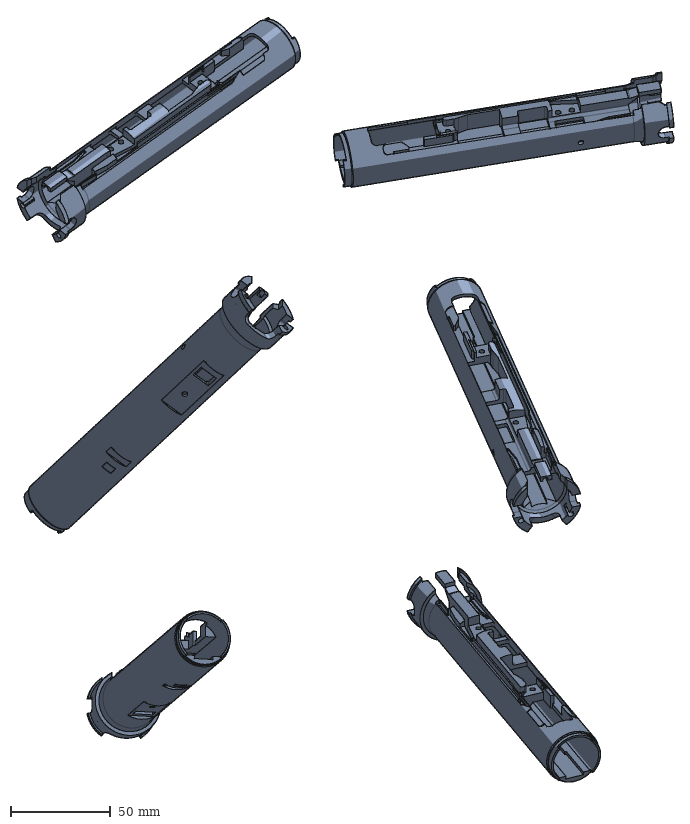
import cadquery as cq
import math

LENGTH = 167.8
BODY_R = 14.3
FLANGE_R = 17.92
FLANGE_W = 2.3
COLLAR_R = 17.0
COLLAR_END = 14.7
SHOULDER_R = 15.1
SHOULDER_END = 19.6
SHOULDER_ARC_R = 20.0
TAIL_START = 164.2
TAIL_R = 13.5
TAIL_CHAMFER = 0.5
TAIL_TAB_START = 166.2
TAIL_TAB_X = 8.8
TAIL_TAB_HALF_HEIGHT = 9.5

BORE_R = 12.45
MOUTH_R = 13.6
MOUTH_END = 11.1
MOUTH_CONE_END = 12.3
FLOOR_RAMP_END = 17.0
FLOOR_Z = -9.2
GROOVE_Z = -10.8
GROOVE_HALF = 4.0
REAR_GROOVE_HALF = 4.8
REAR_GROOVE_START = 145.0
ROOF_LEFT_Z = 5.2
ROOF_RIGHT_Z = 2.8
ROOF_STEP_X0 = 0.9
ROOF_STEP_X1 = 2.7
DECK_START = 20.0
DECK_END = 117.0

LEFT_EDGE = -10.4
RIGHT_EDGE = 10.3
BLOCK_TOP = 13.75
SHELF_Z = 7.5
RECESS_EDGE_Z = 9.75
RECESS_Z = 9.3
RIB_X0 = -2.4
RIB_X1 = 3.35
RIB_TIP = 3.2
RIB_RISE_END = 19.2
RIB_UNDER_Z = 14.1
RIB_STEP = 1.0
RIB_OVERLAP = 1.0
RIB_GROOVE_R = 1.4
RIB_GROOVE_RISE = 0.5
RIB_GROOVE_LENGTH = 3.0
SHELF_END = 108.5
WINDOW_X0 = -5.9
WINDOW_X1 = 8.0
WINDOW_END = 152.0
BLOCK_X1 = 5.8
CHANNEL_Z = 5.3
SIDE_GROOVE_Z = 8.5
PIN_HOLE_D = 2.7

FAR = 60.0
TOP = 20.0


def span(x0, x1, y0, y1, z0, z1):
    """Box between two corners."""
    return cq.Workplane("XY").box(x1 - x0, y1 - y0, z1 - z0, centered=False).translate((x0, y0, z0))


def pocket(x0, x1, y0, y1, floor, corner=0):
    """Cutter open to the top, with optional rounded upright edges."""
    cutter = span(x0, x1, y0, y1, floor, TOP)
    return cutter.edges("|Z").fillet(corner) if corner else cutter


def plan_cut(points, floor):
    """Cutter open to the top with a polygonal plan."""
    return cq.Workplane("XY").workplane(offset=floor).polyline(points).close().extrude(TOP - floor)


def rod(radius, y0, y1, x=0, z=0):
    """Cylinder parallel to the tube axis."""
    return cq.Workplane("XZ", origin=(x, y0, z)).circle(radius).extrude(y0 - y1)


def outer_body():
    profile = (
        cq.Workplane("XY")
        .moveTo(0, 0)
        .lineTo(FLANGE_R, 0)
        .lineTo(FLANGE_R, FLANGE_W)
        .lineTo(COLLAR_R, FLANGE_W)
        .lineTo(COLLAR_R, COLLAR_END)
        .lineTo(SHOULDER_R, COLLAR_END)
        .radiusArc((BODY_R, SHOULDER_END), SHOULDER_ARC_R)
        .lineTo(BODY_R, TAIL_START - TAIL_CHAMFER)
        .lineTo(BODY_R - TAIL_CHAMFER, TAIL_START)
        .lineTo(TAIL_R, TAIL_START)
        .lineTo(TAIL_R, LENGTH)
        .lineTo(0, LENGTH)
        .close()
    )
    return profile.revolve(360, (0, 0, 0), (0, 1, 0))


def cut_tail(body):
    """Leave one locking tab on each side of the rear end."""
    gap = span(-TAIL_TAB_X, TAIL_TAB_X, TAIL_TAB_START, LENGTH, -FAR, FAR)
    tabs_height = span(-FAR, FAR, TAIL_TAB_START, LENGTH, -TAIL_TAB_HALF_HEIGHT, TAIL_TAB_HALF_HEIGHT)
    waste = span(-FAR, FAR, TAIL_TAB_START, LENGTH, -FAR, FAR).cut(tabs_height)
    return body.cut(gap).cut(waste)


def bore_cutter():
    mouth = (
        cq.Workplane("XY")
        .polyline([
            (0, 0), (MOUTH_R, 0), (MOUTH_R, MOUTH_END), (BORE_R, MOUTH_CONE_END),
            (-FLOOR_Z, FLOOR_RAMP_END), (0, FLOOR_RAMP_END),
        ])
        .close()
        .revolve(360, (0, 0, 0), (0, 1, 0))
    )
    bore = rod(BORE_R, MOUTH_CONE_END, LENGTH)
    bore = bore.cut(span(-FAR, FAR, MOUTH_CONE_END, LENGTH, -FAR, FLOOR_Z))
    roof = (
        cq.Workplane("XZ", origin=(0, DECK_START, 0))
        .polyline([
            (-FAR, ROOF_LEFT_Z), (ROOF_STEP_X0, ROOF_LEFT_Z), (ROOF_STEP_X1, ROOF_RIGHT_Z),
            (FAR, ROOF_RIGHT_Z), (FAR, FAR), (-FAR, FAR),
        ])
        .close()
        .extrude(DECK_START - DECK_END)
    )
    rear_shelf_support = span(-FAR, WINDOW_X0, DECK_END, FACET_Y1, ROOF_LEFT_Z, FAR)
    bore = bore.cut(roof).cut(rear_shelf_support)
    groove = span(-GROOVE_HALF, GROOVE_HALF, MOUTH_CONE_END, LENGTH, GROOVE_Z, 0)
    rear_groove = span(-REAR_GROOVE_HALF, REAR_GROOVE_HALF, REAR_GROOVE_START, LENGTH, GROOVE_Z, 0)
    return mouth.union(bore).union(groove).union(rear_groove)


MOUTH_SLOT_HALF = 3.85
MOUTH_SLOT_DEPTH = 8.0
COLLAR_GAP_X0 = -8.7
COLLAR_GAP_X1 = 8.4
LIP_GAP_X = 10.3
LIP_GAP_DEPTH = 3.2
LIP_GAP_TAPER_END = 5.2
LIP_GAP_Z = 4.85
BOTTOM_NOTCH_DEPTH = 7.65
BOTTOM_NOTCH_ANGLE = 34.5
BOTTOM_NOTCH_CORNER = 3.5
SCALLOPS = ((-13.5, -6.4, 1.4), (12.4, -8.4, 1.5))
SCALLOP_DEPTH = 7.0


def cut_side_slots(body):
    """Round-ended slot through both sides of the mouth."""
    slot = (
        cq.Workplane("YZ", origin=(-FAR, 0, 0))
        .slot2D(2 * MOUTH_SLOT_DEPTH, 2 * MOUTH_SLOT_HALF)
        .extrude(2 * FAR)
    )
    return body.cut(slot)


def cut_top_gap(body):
    gap = span(COLLAR_GAP_X0, COLLAR_GAP_X1, 0, DECK_START, 0, FAR)
    lip_gap = plan_cut(
        [
            (-LIP_GAP_X, 0), (LIP_GAP_X, 0), (LIP_GAP_X, LIP_GAP_DEPTH), (COLLAR_GAP_X1, LIP_GAP_TAPER_END),
            (COLLAR_GAP_X0, LIP_GAP_TAPER_END), (-LIP_GAP_X, LIP_GAP_DEPTH),
        ],
        LIP_GAP_Z,
    )
    return body.cut(gap).cut(lip_gap)


def cut_bottom_notch(body):
    """Wedge with radial walls and rounded inner corners."""
    half_width = FAR * math.tan(math.radians(BOTTOM_NOTCH_ANGLE))
    wedge = (
        cq.Workplane("XZ", origin=(0, -BOTTOM_NOTCH_DEPTH, 0))
        .polyline([(0, 0), (half_width, -FAR), (-half_width, -FAR)])
        .close()
        .extrude(-2 * BOTTOM_NOTCH_DEPTH)
    )
    hub = rod(MOUTH_R / 2, -BOTTOM_NOTCH_DEPTH, BOTTOM_NOTCH_DEPTH)
    wedge = wedge.cut(hub)
    inner_corners = wedge.faces(">Y").edges("%LINE").edges("not |X")
    wedge = inner_corners.fillet(BOTTOM_NOTCH_CORNER)
    return body.cut(wedge)


def cut_scallops(body):
    for x, z, radius in SCALLOPS:
        body = body.cut(rod(radius, 0, SCALLOP_DEPTH, x, z))
    return body


def add_rib(body):
    """Key that bridges the collar gap and rises from the deck to the collar radius."""
    side = (
        cq.Workplane("YZ", origin=(RIB_X0, 0, 0))
        .polyline([
            (RIB_TIP, RIB_UNDER_Z), (RIB_TIP, FAR), (COLLAR_END, FAR), (COLLAR_END, BLOCK_TOP + RIB_STEP),
            (RIB_RISE_END, BLOCK_TOP), (DECK_START + RIB_OVERLAP, BLOCK_TOP),
            (DECK_START + RIB_OVERLAP, RECESS_Z), (DECK_START, RECESS_Z), (COLLAR_END, RIB_UNDER_Z),
        ])
        .close()
        .extrude(RIB_X1 - RIB_X0)
    )
    rib = side.intersect(rod(COLLAR_R, 0, FAR))
    tip_groove = rod(RIB_GROOVE_R, 0, RIB_TIP + RIB_GROOVE_LENGTH, 0, RIB_UNDER_Z + RIB_GROOVE_RISE)
    return body.union(rib.cut(tip_groove))


REAR_SHELF_END = 142.0
FACET_Y0 = 134.0
FACET_Y1 = 147.0
FACET_INNER = (5.9, 12.6)
FACET_OUTER = (10.3, 9.75)
FACET_TIP_X = -9.4
FACET_BEVEL = 3.0
FACET_CORNER = 1.8
RIGHT_FACET_Y0 = 131.0
FENCE = (-6.8, -4.9, 109.5, 125.7)
FENCE_TOP = 12.6
FENCE_NOSE = 1.6
LONG_POCKET_X1 = 4.2
LONG_POCKET_Y0 = 84.8
LONG_POCKET_TAPER = ((LONG_POCKET_X1, 101), (2.9, 106), (2.3, SHELF_END))
SHORT_POCKETS = (
    (0.8, 61.4, 76.5),
    (-3.9, 43.7, 58.3),
)
POCKET_CORNER = 1.0
LEFT_TRACK = [(-10.2, 39.5), (-8.7, 39.5), (-6.8, 31), (-6.8, 18), (-8.7, 18), (-8.7, 31)]
LEFT_TRACK_DEPTH = 1.0
WALL_FILLET = 1.6


def cut_facets(body):
    """Shallow sloping flats on both sides of the window."""
    for side, y0 in ((-1, FACET_Y0), (1, RIGHT_FACET_Y0)):
        inner = (side * FACET_INNER[0], FACET_INNER[1])
        outer = (side * FACET_OUTER[0], FACET_OUTER[1])
        above_facet = (
            cq.Workplane("XZ", origin=(0, y0, 0))
            .polyline([inner, outer, (outer[0], TOP), (inner[0], TOP)])
            .close()
            .extrude(y0 - FACET_Y1)
        )
        plan = span(min(inner[0], outer[0]), max(inner[0], outer[0]), y0, FACET_Y1, 0, TOP)
        plan = plan.edges("|Z and >Y").fillet(FACET_CORNER)
        body = body.cut(above_facet.intersect(plan))
    return body


def cut_left_shelves(body):
    shelf = pocket(LEFT_EDGE, RIB_X0, DECK_START - RIB_OVERLAP, SHELF_END, SHELF_Z)
    rear_shelf = plan_cut(
        [
            (LEFT_EDGE, SHELF_END), (WINDOW_X0, SHELF_END), (WINDOW_X0, FACET_Y0 + FACET_BEVEL),
            (FACET_TIP_X + FACET_BEVEL / 3, FACET_Y0), (FACET_TIP_X, FACET_Y0),
            (FACET_TIP_X, REAR_SHELF_END), (LEFT_EDGE, REAR_SHELF_END),
        ],
        SHELF_Z,
    )
    strip_x = RIB_X0 - WALL_FILLET
    strip_z = SHELF_Z + WALL_FILLET
    fillet_strip = span(strip_x, RIB_X0, DECK_START, SHELF_END, SHELF_Z, strip_z)
    fillet_strip = fillet_strip.cut(rod(WALL_FILLET, DECK_START, SHELF_END, strip_x, strip_z))
    return body.cut(shelf).cut(rear_shelf).union(fillet_strip)


def cut_left_pockets(body):
    long_plan = [
        (LEFT_EDGE, LONG_POCKET_Y0), (LONG_POCKET_X1, LONG_POCKET_Y0), *LONG_POCKET_TAPER,
        (LEFT_EDGE, SHELF_END),
    ]
    body = body.cut(plan_cut(long_plan, 0))
    for x1, y0, y1 in SHORT_POCKETS:
        body = body.cut(pocket(LEFT_EDGE, x1, y0, y1, 0, POCKET_CORNER))
    return body


def cut_left_track(body):
    """Shallow track that shifts sideways towards the mouth."""
    return body.cut(plan_cut(LEFT_TRACK, SHELF_Z - LEFT_TRACK_DEPTH))


def add_fence(body):
    x0, x1, y0, y1 = FENCE
    fence = span(x0, x1, y0, y1, ROOF_LEFT_Z, FENCE_TOP)
    fence = fence.edges("|Z and <X and <Y").chamfer(FENCE_NOSE)
    return body.union(fence)


REAR_RECESS = (-4.9, WINDOW_X1, SHELF_END, DECK_END)
REAR_RECESS_Z = 9.7
FRONT_RECESS = (RIB_X0, BLOCK_X1, 44.6, 59.2)
FRONT_RECESS_EDGE = (BLOCK_X1, RIGHT_EDGE, 44.6, 59.2)
FINGER = (2.5, BLOCK_X1, SHELF_END, 113.8)
FINGER_CORNER = 1.64
WINDOW_CORNER = 2.2
DECK_HOLES = ((-1.1, 112.3), (0, 55.6), (0, 48.5))
SIDE_HOLE_Y = 47.0
CHANNEL_X1 = 7.7
CHANNEL_FRONT_X1 = 5.5
CHANNEL_Y0 = 30.0
CHANNEL_BEND_Y0 = 42.5
CHANNEL_BEND_Y1 = 57.0
RIGHT_GROOVE_X0 = 8.3
RIGHT_GROOVE_Y0 = 19.0
RIGHT_GROOVE_Y1 = 123.0
RIGHT_GROOVE_LEAD = ((RIGHT_GROOVE_X0, 38), (7.4, 30), (8.8, 30), (8.4, RIGHT_GROOVE_Y0))
FRONT_POCKET = (RIB_X1, 8.2, DECK_START, CHANNEL_Y0)


def cut_window(body):
    window = pocket(WINDOW_X0, WINDOW_X1, DECK_END, WINDOW_END, 0, WINDOW_CORNER)
    return body.cut(window)


def cut_recesses(body):
    finger = span(*FINGER, 0, TOP).edges("|Z and >Y").fillet(FINGER_CORNER)
    rear = pocket(*REAR_RECESS, REAR_RECESS_Z).cut(finger)
    return body.cut(rear).cut(pocket(*FRONT_RECESS, RECESS_Z)).cut(pocket(*FRONT_RECESS_EDGE, RECESS_EDGE_Z))


def cut_right_channel(body):
    """Channel beside the block; it steps inwards beside the front recess."""
    points = [
        (BLOCK_X1, DECK_END), (CHANNEL_X1, DECK_END), (CHANNEL_X1, CHANNEL_BEND_Y1),
        (CHANNEL_FRONT_X1, CHANNEL_BEND_Y0), (CHANNEL_FRONT_X1, CHANNEL_Y0), (RIB_X1, CHANNEL_Y0),
        (RIB_X1, CHANNEL_BEND_Y0), (BLOCK_X1, CHANNEL_BEND_Y1),
    ]
    return body.cut(plan_cut(points, CHANNEL_Z)).cut(pocket(*FRONT_POCKET, CHANNEL_Z))


def cut_right_groove(body):
    """Groove along the right edge with a slanted lead-out at the front."""
    points = [
        (WINDOW_X1, RIGHT_FACET_Y0), (RIGHT_GROOVE_X0, RIGHT_GROOVE_Y1),
        *RIGHT_GROOVE_LEAD, (RIGHT_EDGE, RIGHT_GROOVE_Y0), (RIGHT_EDGE, RIGHT_GROOVE_Y1),
    ]
    return body.cut(plan_cut(points, SIDE_GROOVE_Z))


def cut_pin_holes(body):
    for x, y in DECK_HOLES:
        hole = cq.Workplane("XY", origin=(x, y, 0)).circle(PIN_HOLE_D / 2).extrude(TOP)
        body = body.cut(hole)
    side_hole = cq.Workplane("YZ", origin=(-FAR, SIDE_HOLE_Y, 0)).circle(PIN_HOLE_D / 2).extrude(FAR)
    return body.cut(side_hole)


UNDER_FLAT_Z = -12.6
UNDER_FLATS = ((40.2, 72.0), (110.0, 113.8))
UNDER_WINDOW = (-5.0, 5.0, 44.0, 50.0)
UNDER_HOLE_Y = 61.5
UNDER_HOLE_X = -0.4
UNDER_HOLE_R = 1.4
UNDER_PAD = (117.5, 121.0)
UNDER_PAD_HALF = 3.0
UNDER_PAD_R = 14.5


def shape_underside(body):
    for y0, y1 in UNDER_FLATS:
        body = body.cut(span(-FAR, FAR, y0, y1, -FAR, UNDER_FLAT_Z))
    x0, x1, y0, y1 = UNDER_WINDOW
    body = body.cut(span(x0, x1, y0, y1, -FAR, FLOOR_Z))
    hole_center = cq.Workplane("XY", origin=(UNDER_HOLE_X, UNDER_HOLE_Y, 0))
    body = body.cut(hole_center.circle(UNDER_HOLE_R).extrude(-FAR))
    pad = span(-UNDER_PAD_HALF, UNDER_PAD_HALF, *UNDER_PAD, -FAR, UNDER_FLAT_Z)
    return body.union(pad.intersect(rod(UNDER_PAD_R, *UNDER_PAD)))


result = cut_tail(outer_body()).cut(bore_cutter())
for step in (
    cut_side_slots, cut_top_gap, cut_bottom_notch, cut_scallops,
    cut_facets, cut_left_shelves, cut_left_pockets, cut_left_track,
    cut_window, cut_recesses, add_fence, cut_right_channel, cut_right_groove,
    add_rib, cut_pin_holes, shape_underside,
):
    result = step(result)